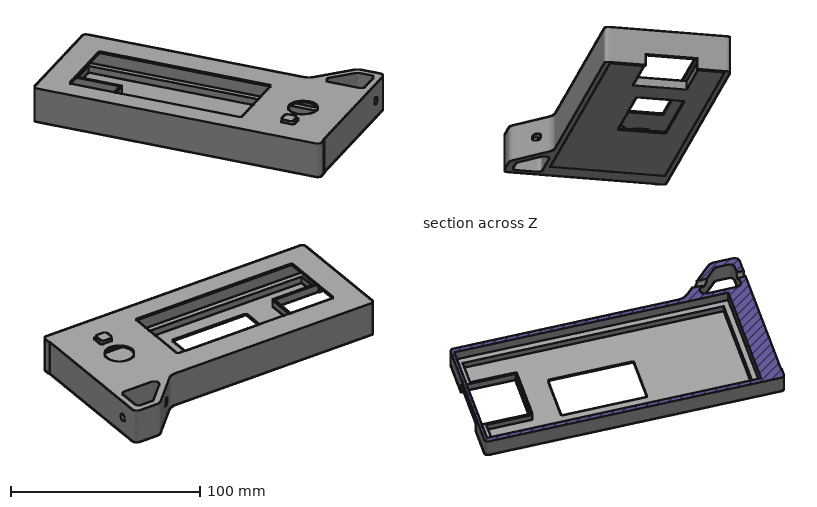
import cadquery as cq
import math

body_length = 164.7
body_width = 68.0
body_height = 20.0
corner_radius = 2.1
roof_thickness = 1.0

strip_length = 6.0
strip_thickness = 0.3

loop_depth = 19.8
loop_wall = 4.0
loop_foot_x = 129.2
loop_outer_radius = 3.0
loop_bend_radius = 5.5
loop_foot_radius = 8.0
loop_opening_left = 138.8
loop_opening_radius = 2.3
cord_hole_diameter = 4.0
cord_hole_y = body_width + 7.8

cavity_left = 2.0
cavity_right = 152.5
side_wall = 3.0

display_left = 15.5
display_front = 12.2
display_length = 99.0
display_width = 40.3
display_radius = 1.0
round_hole_diameter = 15.7
round_hole_x = 140.1
round_hole_y = 35.5

button_x = 139.1
button_y = 19.1
button_size = 6.8
button_opening_x = 139.6
button_opening_y = 19.1
button_opening_size = 7.8
button_radius = 1.5
button_rise = 1.5

notch_middle_y = 32.0
wall_notch_width = 28.0
cover_notch_width = 29.0
wall_notch_height = 6.1
cover_notch_end = 30.0

cover_thickness = 1.0
rim_height = 5.0
rim_width = 3.5
collar_wall = 1.0
cover_window_left = 46.4
cover_window_front = 15.2
cover_window_length = 47.2
cover_window_width = 25.9
cover_window_radius = 1.0

cavity_length = cavity_right - cavity_left
cavity_width = body_width - 2 * side_wall


def block(left, front, bottom, length, width, height):
    """A box placed by its left, front and bottom faces."""
    return cq.Workplane("XY").box(length, width, height, centered=False).translate((left, front, bottom))


def rounded_block(left, front, bottom, length, width, height, radius):
    """A box with rounded vertical edges."""
    return block(left, front, bottom, length, width, height).edges("|Z").fillet(radius)


def square_prism(x, y, size, bottom, top):
    """An upright prism with the button's corner radius, centred on x, y."""
    half = size / 2
    return rounded_block(x - half, y - half, bottom, size, size, top - bottom, button_radius)


def notch_block(left, right, width, height):
    """A box resting on z = 0, centred on the middle of the notch."""
    return block(left, notch_middle_y - width / 2, 0, right - left, width, height)


def round_corner(solid, x, y, radius):
    """Round the vertical edge that stands at x, y."""
    reach = 0.2
    around_edge = cq.selectors.BoxSelector(
        (x - reach, y - reach, 0), (x + reach, y + reach, body_height)
    )
    return solid.edges("|Z").edges(around_edge).fillet(radius)


def make_outer_block():
    loop_top = body_width + loop_depth
    tip_x = loop_foot_x + loop_depth
    strip_right = body_length + strip_thickness
    outer = (
        cq.Workplane("XY")
        .polyline([
            (0, 0),
            (strip_right, 0),
            (strip_right, strip_length),
            (body_length, strip_length),
            (body_length, loop_top),
            (tip_x, loop_top),
            (loop_foot_x, body_width),
            (0, body_width),
        ])
        .close()
        .extrude(body_height)
    )
    for x, y, radius in [
        (0, 0, corner_radius),
        (strip_right, 0, corner_radius),
        (0, body_width, corner_radius),
        (body_length, loop_top, loop_outer_radius),
        (tip_x, loop_top, loop_bend_radius),
        (loop_foot_x, body_width, loop_foot_radius),
    ]:
        outer = round_corner(outer, x, y, radius)
    return outer


def make_loop_opening():
    """The opening keeps the same wall beside the slanted, top and right sides of the loop."""
    right = body_length - loop_wall
    top = body_width + loop_depth - loop_wall
    slant_offset = loop_foot_x - body_width + loop_wall * math.sqrt(2)
    return (
        cq.Workplane("XY")
        .polyline([
            (loop_opening_left, body_width),
            (right, body_width),
            (right, top),
            (top + slant_offset, top),
            (loop_opening_left, loop_opening_left - slant_offset),
        ])
        .close()
        .extrude(body_height)
        .edges("|Z")
        .fillet(loop_opening_radius)
    )


def make_cord_hole():
    """A hole along X through both sides of the loop."""
    return (
        cq.Workplane("YZ", origin=(loop_foot_x, cord_hole_y, body_height / 2))
        .circle(cord_hole_diameter / 2)
        .extrude(body_length - loop_foot_x)
    )


def make_housing():
    cavity = block(cavity_left, side_wall, 0, cavity_length, cavity_width, body_height - roof_thickness)
    display = rounded_block(
        display_left, display_front, 0, display_length, display_width, body_height, display_radius
    )
    round_hole = (
        cq.Workplane("XY")
        .center(round_hole_x, round_hole_y)
        .circle(round_hole_diameter / 2)
        .extrude(body_height)
    )
    button_hole = square_prism(button_opening_x, button_opening_y, button_opening_size, 0, body_height)
    notch = notch_block(0, cavity_left, wall_notch_width, wall_notch_height)
    housing = make_outer_block()
    for cutter in [make_loop_opening(), make_cord_hole(), cavity, display, round_hole, button_hole, notch]:
        housing = housing.cut(cutter)
    return housing


def make_cover():
    cover = block(cavity_left, side_wall, 0, cavity_length, cavity_width, rim_height)
    tray = block(
        cavity_left + rim_width,
        side_wall + rim_width,
        cover_thickness,
        cavity_length - 2 * rim_width,
        cavity_width - 2 * rim_width,
        rim_height - cover_thickness,
    )
    collar = notch_block(
        cavity_left, cover_notch_end + collar_wall, cover_notch_width + 2 * collar_wall, rim_height
    )
    collar = collar.edges("|Z and >X").fillet(collar_wall)
    notch = notch_block(cavity_left, cover_notch_end, cover_notch_width, rim_height)
    window = rounded_block(
        cover_window_left,
        cover_window_front,
        0,
        cover_window_length,
        cover_window_width,
        cover_thickness,
        cover_window_radius,
    )
    return cover.cut(tray).union(collar).cut(notch).cut(window)


def make_button():
    bottom = body_height - roof_thickness
    top = body_height + button_rise
    return square_prism(button_x, button_y, button_size, bottom, top)


housing = make_housing()
cover = make_cover()
button = make_button()

result = cq.Compound.makeCompound([housing.val(), cover.val(), button.val()])